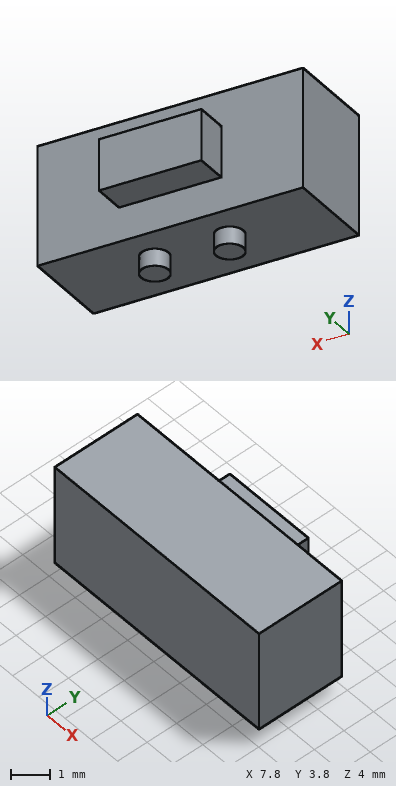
import cadquery as cq

body_length = 7.8
body_depth = 2.8
body_height = 3.5

actuator_length = 3.0
actuator_projection = 1.0
actuator_height = 1.5

pin_diameter = 0.8
pin_projection = 0.5
pin_spacing = 2.2
pin_offset_y = 0.3


def make_body():
    return cq.Workplane("XY").box(body_length, body_depth, body_height)


def add_actuator(part):
    return part.faces(">Y").workplane(origin=(0, 0, 0)).rect(
        actuator_length, actuator_height
    ).extrude(actuator_projection)


def add_pins(part):
    pins = (
        cq.Workplane("XY", origin=(0, pin_offset_y, -body_height / 2))
        .pushPoints([(side * pin_spacing / 2, 0) for side in (-1, 1)])
        .circle(pin_diameter / 2)
        .extrude(-pin_projection)
    )
    return part.union(pins)


result = add_pins(add_actuator(make_body()))